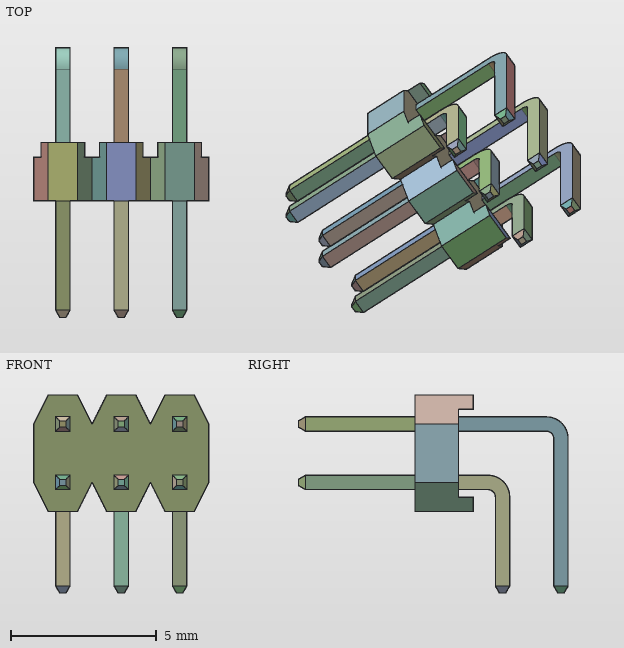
import cadquery as cq

body_width = 6.0
overall_length = 9.25
overall_height = 6.8

columns = 3
pitch = body_width / columns

body_height = 2 * pitch
body_depth = pitch
corner_width = 0.5
corner_height = 1.0
rear_slot_depth = 0.5
lip_height = 0.5

pin_size = 0.5
tip_length = 0.25
tip_size = 0.21
inner_bend_radius = 0.25
outer_bend_radius = inner_bend_radius + pin_size
front_reach = 4.0

front_end = -front_reach
rear_end = overall_length - front_reach
leg_bottom = body_height - overall_height
lower_row_z = (body_height - pitch) / 2
upper_row_z = lower_row_z + pitch
column_positions = [(i - (columns - 1) / 2) * pitch for i in range(columns)]


def body_segment(x):
    """One pitch-wide octagonal block, centred on x."""
    half = pitch / 2
    flat_half = half - corner_width
    top_shoulder = body_height - corner_height
    outline = [
        (x - flat_half, 0),
        (x + flat_half, 0),
        (x + half, corner_height),
        (x + half, top_shoulder),
        (x + flat_half, body_height),
        (x - flat_half, body_height),
        (x - half, top_shoulder),
        (x - half, corner_height),
    ]
    return cq.Workplane("XZ").polyline(outline).close().extrude(-body_depth)


def make_body():
    """Joined segments with a full-width slot in the rear, between upper and lower lips."""
    body = body_segment(column_positions[0])
    for x in column_positions[1:]:
        body = body.union(body_segment(x))
    slot = cq.Workplane("XY").box(
        body_width, rear_slot_depth, body_height - 2 * lip_height, centered=(True, False, False)
    ).translate((0, body_depth - rear_slot_depth, lip_height))
    return body.cut(slot)


def tapered_tip(plane):
    """Truncated pyramid narrowing along the normal of the plane."""
    return (
        cq.Workplane(plane)
        .rect(pin_size, pin_size)
        .workplane(offset=tip_length)
        .rect(tip_size, tip_size)
        .loft(ruled=True)
    )


def make_pin(x, row_z, leg_rear):
    """Right-angle pin: a straight run along Y, a rounded bend, and a leg pointing down."""
    half = pin_size / 2
    run_start = front_end + tip_length
    leg_end = leg_bottom + tip_length
    leg_front = leg_rear - pin_size
    bend_y = leg_rear - outer_bend_radius
    bend_z = row_z + half - outer_bend_radius
    shank = (
        cq.Workplane("YZ", origin=(x - half, 0, 0))
        .moveTo(run_start, row_z + half)
        .lineTo(bend_y, row_z + half)
        .radiusArc((leg_rear, bend_z), outer_bend_radius)
        .lineTo(leg_rear, leg_end)
        .lineTo(leg_front, leg_end)
        .lineTo(leg_front, bend_z)
        .radiusArc((bend_y, row_z - half), -inner_bend_radius)
        .lineTo(run_start, row_z - half)
        .close()
        .extrude(pin_size)
    )
    front_plane = cq.Plane(origin=(x, run_start, row_z), xDir=(1, 0, 0), normal=(0, -1, 0))
    leg_plane = cq.Plane(origin=(x, leg_rear - half, leg_end), xDir=(1, 0, 0), normal=(0, 0, -1))
    return shank.union(tapered_tip(front_plane)).union(tapered_tip(leg_plane))


result = make_body()
for column_x in column_positions:
    result = result.union(make_pin(column_x, upper_row_z, rear_end))
    result = result.union(make_pin(column_x, lower_row_z, rear_end - pitch))